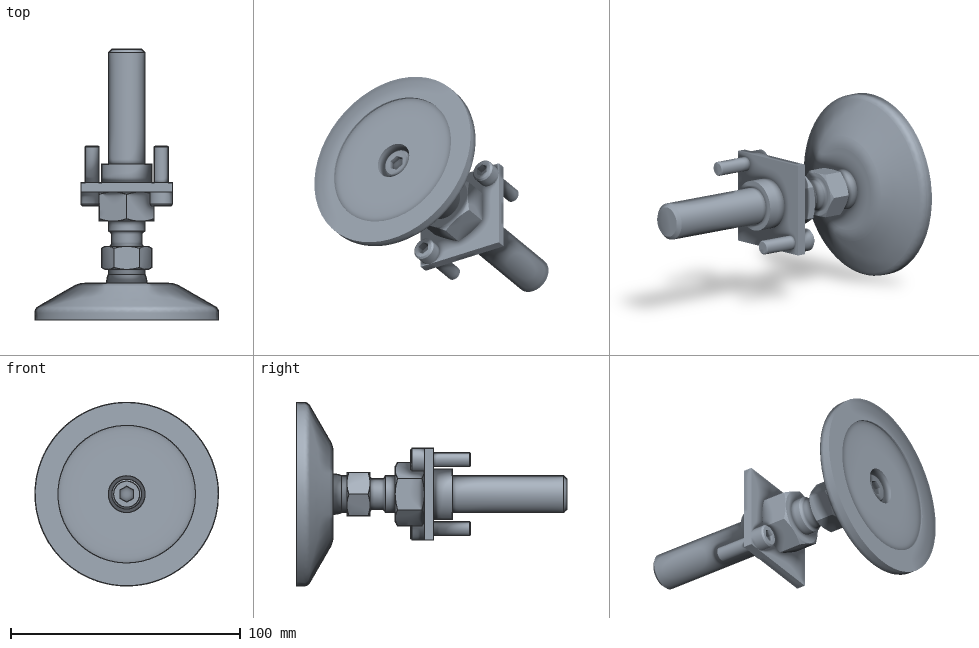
import cadquery as cq
import math


RIM_RADIUS = 40.0
RIM_CORNER_Y = 5.0
FOOT_HEIGHT = 16.0
CONE_SLOPE = math.radians(30)
RIM_FILLET = 3.0
SHOULDER_FILLET = 10.0
RECESS_RADIUS = 30.0
RECESS_DEPTH = 1.0
COUNTERBORE_RADIUS = 8.0

ROD_RADIUS = 8.0
ROD_END_Y = 118.0
ROD_CHAMFER = 1.5
BALL_RADIUS = 8.8
SPINDLE_HEX_WIDTH = 19.0
SPINDLE_HEX_LENGTH = 10.0
SPINDLE_HEX_Y = 22.1
NECK_RADIUS = 6.7
NECK_END_Y = 38.8
NECK_FILLET = 1.0
RUNOUT_SLOPE = math.radians(30)

NUT_WIDTH = 24.0
NUT_LENGTH = 12.7
PLATE_Y = 55.8
PLATE_SIDE = 40.0
PLATE_THICKNESS = 4.0
BOSS_RADIUS = 11.0
BOSS_LENGTH = 8.1
HEX_CHAMFER_ANGLE = math.radians(30)

PLATE_HEAD_RADIUS = 5.0
PLATE_HEAD_HEIGHT = 6.0
PLATE_HEAD_CHAMFER = 0.7
PLATE_SHANK_RADIUS = 3.1
PLATE_SHANK_LENGTH = 20.1
PLATE_SOCKET_WIDTH = 5.0
PLATE_SOCKET_DEPTH = 3.9
PLATE_SCREW_OFFSET = PLATE_SIDE / 2 - PLATE_HEAD_RADIUS

FOOT_HEAD_RADIUS = 6.5
FOOT_HEAD_HEIGHT = 8.0
FOOT_HEAD_CHAMFER = 0.8
FOOT_SHANK_RADIUS = 4.0
FOOT_SHANK_LENGTH = 20.1
FOOT_SOCKET_WIDTH = 6.0
FOOT_SOCKET_DEPTH = 2.7
FOOT_SCREW_SEAT_Y = 11.3

SHANK_CHAMFER = 0.5
LEVEL_TOLERANCE = 0.1


def cylinder(radius, start_y, length):
    return cq.Workplane("XZ", origin=(0, start_y, 0)).circle(radius).extrude(-length)


def hex_prism(width, start_y, length, corner_angle):
    """Hexagon along Y; corner_angle turns its first corner from +X towards +Z."""
    corner_diameter = width / math.cos(math.pi / 6)
    prism = cq.Workplane("XZ", origin=(0, start_y, 0)).polygon(6, corner_diameter).extrude(-length)
    return prism.rotate((0, 0, 0), (0, 1, 0), -corner_angle)


def chamfered_hex(width, start_y, length, corner_angle):
    """Hexagon whose corners are turned off conically at both ends, as on a nut."""
    flat_radius = width / 2
    corner_radius = flat_radius / math.cos(math.pi / 6)
    drop = (corner_radius - flat_radius) * math.tan(HEX_CHAMFER_ANGLE)
    end_y = start_y + length
    envelope = (
        cq.Workplane("XY")
        .moveTo(0, start_y)
        .lineTo(flat_radius, start_y)
        .lineTo(corner_radius, start_y + drop)
        .lineTo(corner_radius, end_y - drop)
        .lineTo(flat_radius, end_y)
        .lineTo(0, end_y)
        .close()
        .revolve(360, (0, 0), (0, 1))
    )
    return hex_prism(width, start_y, length, corner_angle).intersect(envelope)


def cap_screw(head_radius, head_height, head_chamfer, shank_radius, shank_length, socket_width, socket_depth):
    """Socket head screw with its seat at Y = 0, the head towards -Y and the shank towards +Y."""
    head = cylinder(head_radius, -head_height, head_height).faces("<Y").chamfer(head_chamfer)
    shank = cylinder(shank_radius, 0, shank_length).faces(">Y").chamfer(SHANK_CHAMFER)
    socket = hex_prism(socket_width, -head_height, socket_depth, 90)
    return head.union(shank).cut(socket)


def level_edges(level_y):
    """Selects the edges of the foot whose centre lies at the given Y."""
    reach = RIM_RADIUS
    return cq.selectors.BoxSelector(
        (-reach, level_y - LEVEL_TOLERANCE, -reach),
        (reach, level_y + LEVEL_TOLERANCE, reach),
    )


def make_foot():
    cone_top_radius = RIM_RADIUS - (FOOT_HEIGHT - RIM_CORNER_Y) / math.tan(CONE_SLOPE)
    body = (
        cq.Workplane("XY")
        .polyline([
            (0, 0),
            (RIM_RADIUS, 0),
            (RIM_RADIUS, RIM_CORNER_Y),
            (cone_top_radius, FOOT_HEIGHT),
            (0, FOOT_HEIGHT),
        ])
        .close()
        .revolve(360, (0, 0), (0, 1))
    )
    body = body.edges(level_edges(FOOT_HEIGHT)).fillet(SHOULDER_FILLET)
    body = body.edges(level_edges(RIM_CORNER_Y)).fillet(RIM_FILLET)
    recess = cylinder(RECESS_RADIUS, 0, RECESS_DEPTH)
    counterbore = cylinder(COUNTERBORE_RADIUS, 0, FOOT_SCREW_SEAT_Y)
    screw_hole = cylinder(FOOT_SHANK_RADIUS, 0, FOOT_HEIGHT)
    return body.cut(recess).cut(counterbore).cut(screw_hole)


def make_spindle():
    hex_end_y = SPINDLE_HEX_Y + SPINDLE_HEX_LENGTH
    collar_y = FOOT_HEIGHT + math.sqrt(BALL_RADIUS**2 - ROD_RADIUS**2)
    mid_angle = math.asin(ROD_RADIUS / BALL_RADIUS) / 2 + math.pi / 4
    arc_middle = (BALL_RADIUS * math.sin(mid_angle), FOOT_HEIGHT + BALL_RADIUS * math.cos(mid_angle))
    fillet_reach = NECK_FILLET * (1 - math.sqrt(0.5))

    fillet_centre_x = NECK_RADIUS + NECK_FILLET
    runout_x = fillet_centre_x - NECK_FILLET * math.sin(RUNOUT_SLOPE)
    runout_y = NECK_END_Y - (ROD_RADIUS - runout_x) * math.tan(RUNOUT_SLOPE)
    fillet_centre_y = runout_y - NECK_FILLET * math.cos(RUNOUT_SLOPE)
    half_turn = (math.pi / 2 - RUNOUT_SLOPE) / 2
    runout_middle = (
        fillet_centre_x - NECK_FILLET * math.cos(half_turn),
        fillet_centre_y + NECK_FILLET * math.sin(half_turn),
    )

    turned = (
        cq.Workplane("XY")
        .moveTo(0, FOOT_HEIGHT)
        .lineTo(BALL_RADIUS, FOOT_HEIGHT)
        .threePointArc(arc_middle, (ROD_RADIUS, collar_y))
        .lineTo(ROD_RADIUS, hex_end_y)
        .lineTo(fillet_centre_x, hex_end_y)
        .threePointArc(
            (NECK_RADIUS + fillet_reach, hex_end_y + fillet_reach),
            (NECK_RADIUS, hex_end_y + NECK_FILLET),
        )
        .lineTo(NECK_RADIUS, fillet_centre_y)
        .threePointArc(runout_middle, (runout_x, runout_y))
        .lineTo(ROD_RADIUS, NECK_END_Y)
        .lineTo(ROD_RADIUS, ROD_END_Y - ROD_CHAMFER)
        .lineTo(ROD_RADIUS - ROD_CHAMFER, ROD_END_Y)
        .lineTo(0, ROD_END_Y)
        .close()
        .revolve(360, (0, 0), (0, 1))
    )
    hexagon = chamfered_hex(SPINDLE_HEX_WIDTH, SPINDLE_HEX_Y, SPINDLE_HEX_LENGTH, 0)
    return turned.union(hexagon).cut(make_foot_screw())


def make_lock_nut():
    start_y = PLATE_Y - NUT_LENGTH
    bore = cylinder(ROD_RADIUS, start_y, NUT_LENGTH)
    return chamfered_hex(NUT_WIDTH, start_y, NUT_LENGTH, 90).cut(bore)


def make_flange_plate():
    plate = (
        cq.Workplane("XZ", origin=(0, PLATE_Y, 0))
        .rect(PLATE_SIDE, PLATE_SIDE)
        .extrude(-PLATE_THICKNESS)
    )
    boss = cylinder(BOSS_RADIUS, PLATE_Y + PLATE_THICKNESS, BOSS_LENGTH)
    bore = cylinder(ROD_RADIUS, PLATE_Y, PLATE_THICKNESS + BOSS_LENGTH)
    flange = plate.union(boss).cut(bore)
    for side in (-1, 1):
        hole = cylinder(PLATE_SHANK_RADIUS, PLATE_Y, PLATE_THICKNESS)
        flange = flange.cut(hole.translate((side * PLATE_SCREW_OFFSET, 0, side * PLATE_SCREW_OFFSET)))
    return flange


def make_plate_screw(side):
    """Screw in the (-X, -Z) corner for side -1 and in the (+X, +Z) corner for side 1."""
    screw = cap_screw(
        PLATE_HEAD_RADIUS,
        PLATE_HEAD_HEIGHT,
        PLATE_HEAD_CHAMFER,
        PLATE_SHANK_RADIUS,
        PLATE_SHANK_LENGTH,
        PLATE_SOCKET_WIDTH,
        PLATE_SOCKET_DEPTH,
    )
    return screw.translate((side * PLATE_SCREW_OFFSET, PLATE_Y, side * PLATE_SCREW_OFFSET))


def make_foot_screw():
    screw = cap_screw(
        FOOT_HEAD_RADIUS,
        FOOT_HEAD_HEIGHT,
        FOOT_HEAD_CHAMFER,
        FOOT_SHANK_RADIUS,
        FOOT_SHANK_LENGTH,
        FOOT_SOCKET_WIDTH,
        FOOT_SOCKET_DEPTH,
    )
    return screw.translate((0, FOOT_SCREW_SEAT_Y, 0))


foot = make_foot()
spindle = make_spindle()
lock_nut = make_lock_nut()
flange_plate = make_flange_plate()
foot_screw = make_foot_screw()
plate_screws = [make_plate_screw(side) for side in (-1, 1)]

result = cq.Compound.makeCompound([
    foot.val(),
    spindle.val(),
    lock_nut.val(),
    flange_plate.val(),
    foot_screw.val(),
    *[screw.val() for screw in plate_screws],
])